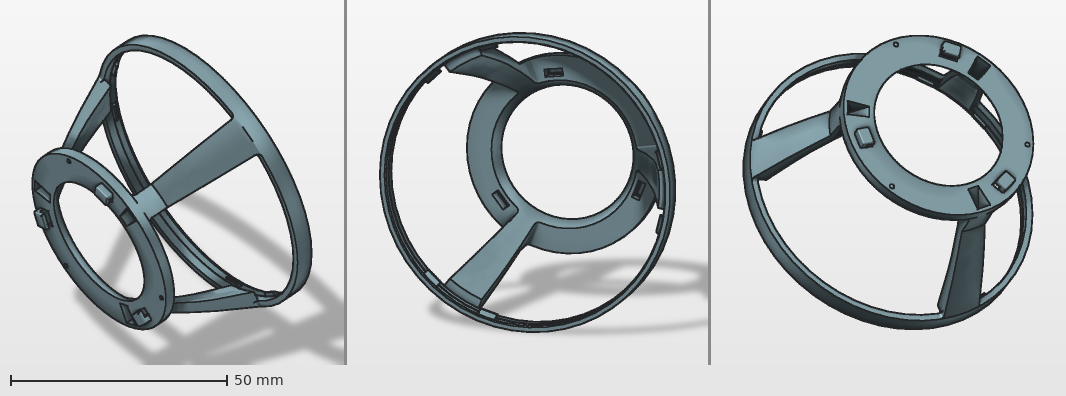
import cadquery as cq
import math


RING_R = 35.0
RING_H = 4.35
RING_BORE_R = 33.45
RING_RELIEF_R = 33.6
RING_SHOULDER_H = 2.2
RING_CHAMFER_W = 0.3
RING_CHAMFER_H = 0.5

PLATE_R = 23.5
PLATE_BORE_R = 15.9
PLATE_FLARE_R = 17.6
PLATE_T = 2.6
PLATE_TOP = 34.7
PLATE_BOTTOM = PLATE_TOP - PLATE_T

COPIES = 3
ARM_ANGLE = 60.0
ARM_BASE_HALF_W = 5.1
ARM_TOP_HALF_W = 3.3
ARM_TAPER = (ARM_BASE_HALF_W - ARM_TOP_HALF_W) / (RING_R - PLATE_R)

ARM_FOOT_H = 4.05
ARM_FOOT_INNER_R = 31.2
ARM_INNER_BEND = (28.6, 11.05)
ARM_INNER_MID = (23.9, 21.9)
ARM_OUTER_MID = (27.8, 19.4)
ARM_OUTER_KNEE = (23.9, 26.45)

ARM_FILLET_R = 1.0

OPENING_ANGLE = ARM_ANGLE + 180.0 / COPIES
OPENING_INNER_R = 10.5
OPENING_OUTER_R = 2 * RING_R

POCKET_INNER_R = 17.15
POCKET_OUTER_R = 22.55
POCKET_INNER_HALF_W = 1.4
POCKET_OUTER_HALF_W = 1.8
POCKET_DEPTH = 7.9

HOOK_ANGLE = 82.4
HOOK_OUTER_R = 21.8
HOOK_LENGTH = 3.15
HOOK_W = 4.2
HOOK_H = 1.95
HOOK_LIP_T = 1.0
HOOK_STEM_T = 1.5
HOOK_ROUND = 0.4
HOOK_INNER_R = HOOK_OUTER_R - HOOK_LENGTH
HOOK_STEM_INNER_R = HOOK_OUTER_R - HOOK_STEM_T
WINDOW_GAP = 0.15
WINDOW_W = 4.35

PIP_ANGLE = -1.5
PIP_PITCH_R = 22.05
PIP_R = 0.55
PIP_H = 0.35

TAB_OFFSET_ANGLE = 13.5
TAB_W = 4.2
TAB_INNER_R = 32.5
TAB_OUTER_R = 34.0
TAB_RAMP_TOP = 1.7


def around(shape, first_angle):
    """Equally spaced copies of a shape about the axis."""
    copies = cq.Workplane("XY")
    for i in range(COPIES):
        angle = first_angle + i * 360.0 / COPIES
        copies = copies.add(shape.rotate((0, 0, 0), (0, 0, 1), angle))
    return copies.combine()


def wedge(inner_r, inner_half_w, outer_r, outer_half_w):
    """Upright prism along +X whose width changes with radius."""
    points = [
        (inner_r, -inner_half_w),
        (outer_r, -outer_half_w),
        (outer_r, outer_half_w),
        (inner_r, inner_half_w),
    ]
    return cq.Workplane("XY").polyline(points).close().extrude(PLATE_TOP)


def shell():
    """Ring, arms and plate turned as one closed funnel."""
    return (
        cq.Workplane("XZ")
        .moveTo(RING_R, 0)
        .lineTo(RING_R, RING_H)
        .threePointArc(ARM_OUTER_MID, ARM_OUTER_KNEE)
        .lineTo(PLATE_R, PLATE_BOTTOM)
        .lineTo(PLATE_R, PLATE_TOP)
        .lineTo(PLATE_BORE_R, PLATE_TOP)
        .lineTo(PLATE_FLARE_R, PLATE_BOTTOM)
        .threePointArc(ARM_INNER_MID, ARM_INNER_BEND)
        .lineTo(ARM_FOOT_INNER_R, ARM_FOOT_H)
        .lineTo(RING_BORE_R, ARM_FOOT_H)
        .lineTo(RING_BORE_R, RING_SHOULDER_H)
        .lineTo(RING_RELIEF_R, RING_SHOULDER_H)
        .lineTo(RING_RELIEF_R, RING_CHAMFER_H)
        .lineTo(RING_RELIEF_R + RING_CHAMFER_W, 0)
        .close()
        .revolve(360, (0, 0, 0), (0, 1, 0))
    )


def arm_side_point(radius, side):
    """Point on the arm side facing the opening along +X, for the arm above (1) or below (-1) it."""
    half_w = ARM_TOP_HALF_W + ARM_TAPER * (radius - PLATE_R)
    half_spacing = math.pi / COPIES
    x = radius * math.cos(half_spacing) + half_w * math.sin(half_spacing)
    y = radius * math.sin(half_spacing) - half_w * math.cos(half_spacing)
    return (x, side * y)


def opening():
    """Space between two arms, centred on +X, rounded where the arms meet the ring and the plate."""
    outline = [
        arm_side_point(OPENING_INNER_R, -1),
        arm_side_point(OPENING_OUTER_R, -1),
        arm_side_point(OPENING_OUTER_R, 1),
        arm_side_point(OPENING_INNER_R, 1),
    ]
    above_ring = (
        cq.Workplane("XY", origin=(0, 0, RING_H))
        .polyline(outline)
        .close()
        .extrude(PLATE_BOTTOM - RING_H)
        .edges("(>Z or <Z) and (not |Y)")
        .fillet(ARM_FILLET_R)
    )
    inside_ring = (
        cq.Workplane("XY")
        .polyline(outline)
        .close()
        .extrude(RING_H + ARM_FILLET_R)
        .intersect(cq.Workplane("XY").circle(RING_BORE_R).extrude(PLATE_TOP))
    )
    return above_ring.union(inside_ring)


def pocket():
    plan = wedge(POCKET_INNER_R, POCKET_INNER_HALF_W, POCKET_OUTER_R, POCKET_OUTER_HALF_W)
    side = (
        cq.Workplane("XZ")
        .moveTo(POCKET_INNER_R, PLATE_TOP)
        .lineTo(POCKET_OUTER_R, PLATE_TOP)
        .lineTo(POCKET_OUTER_R, PLATE_TOP - POCKET_DEPTH)
        .close()
        .extrude(2 * POCKET_OUTER_HALF_W, both=True)
    )
    return plan.intersect(side)


def radial_block(inner_r, outer_r, width, bottom, height):
    """Box along +X between two radii."""
    middle = (inner_r + outer_r) / 2
    return (
        cq.Workplane("XY", origin=(middle, 0, bottom))
        .rect(outer_r - inner_r, width)
        .extrude(height)
    )


def hook():
    block = radial_block(HOOK_INNER_R, HOOK_OUTER_R, HOOK_W, PLATE_TOP, HOOK_H)
    rounded = block.edges(">Z or (|Z and >X)").fillet(HOOK_ROUND)
    undercut = radial_block(HOOK_INNER_R, HOOK_STEM_INNER_R, HOOK_W, PLATE_TOP, HOOK_H - HOOK_LIP_T)
    return rounded.cut(undercut)


def window():
    return radial_block(HOOK_INNER_R - WINDOW_GAP, HOOK_STEM_INNER_R, WINDOW_W, PLATE_BOTTOM, PLATE_T)


def pip():
    """Ball sunk in the plate so that only a low dome stands out."""
    ball_r = (PIP_R ** 2 + PIP_H ** 2) / (2 * PIP_H)
    return cq.Workplane("XY", origin=(PIP_PITCH_R, 0, PLATE_TOP + PIP_H - ball_r)).sphere(ball_r)


def tab():
    return (
        cq.Workplane("XZ")
        .moveTo(TAB_OUTER_R, RING_SHOULDER_H)
        .lineTo(TAB_INNER_R, RING_SHOULDER_H)
        .lineTo(TAB_INNER_R, TAB_RAMP_TOP)
        .lineTo(RING_RELIEF_R, RING_CHAMFER_H)
        .lineTo(TAB_OUTER_R, RING_CHAMFER_H)
        .close()
        .extrude(TAB_W / 2, both=True)
    )


body = shell().cut(around(opening(), OPENING_ANGLE))
body = body.cut(around(pocket(), ARM_ANGLE))
body = body.cut(around(window(), HOOK_ANGLE))
body = body.union(around(hook(), HOOK_ANGLE))
body = body.union(around(pip(), PIP_ANGLE))
for offset in (-TAB_OFFSET_ANGLE, TAB_OFFSET_ANGLE):
    body = body.union(around(tab(), ARM_ANGLE + offset))

result = body.rotate((0, 0, 0), (1, 0, 0), 90)